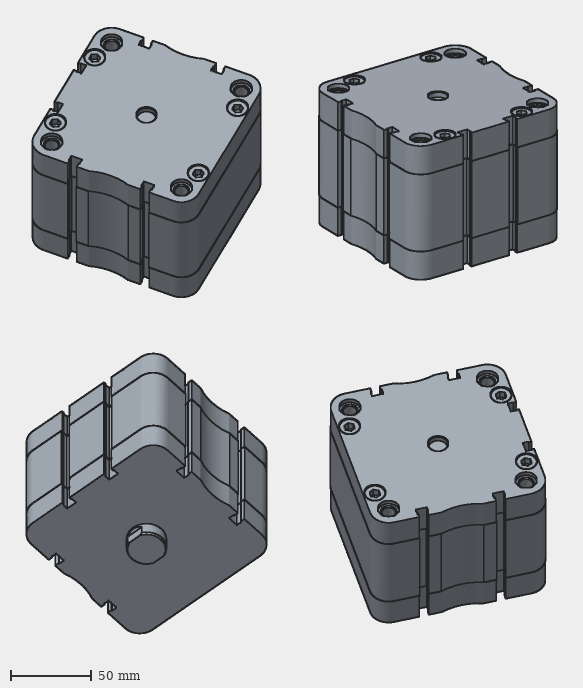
import cadquery as cq

barrel_width = 113.5
cap_width = 113.0
cap_height = 19.5
body_height = 92.0
rod_reach = 10.0
barrel_height = body_height - 2 * cap_height

corner_centre = 44.5
valley_width = 26.8
valley_mouth_width = 27.5
valley_depth = 2.5

y_slot_floor = 6.9
y_slot_lip = 3.3
cap_x_slot_floor = 5.8
barrel_x_slot_floor = 5.3
x_slot_lip = 2.0
slot_undercut = 0.6
barrel_y_slot_width = 5.8
barrel_y_slot_place = 25.0
cap_y_slot_width = 6.1
cap_y_slot_place = 24.9
barrel_x_slot_width = 5.7
barrel_x_slot_place = 17.6
barrel_x_slot_chamfer = 0.5
cap_x_slot_width = 6.1
cap_x_slot_place = 17.4

mount_bore_diameter = 13.5
mount_bore_depth = 3.0
thread_mouth_diameter = 10.1
thread_core_diameter = 8.5

screw_place_x = 49.0
screw_place_y = 29.2
screw_mouth_diameter = 13.5
screw_recess_diameter = 12.7
screw_recess_depth = 0.8
hex_flats = 6.0
hex_depth = 5.0

centre_mouth_diameter = 13.0
centre_hole_diameter = 12.0
centre_hole_depth = 4.0

rod_diameter = 25.0
rod_flats = 22.0
rod_end_chamfer_height = 1.5
rod_end_chamfer_width = 0.7
flat_ramp_start = 1.4
flat_ramp_end = 2.8


def turned(body, angle):
    """Copy of a body turned about the Z axis."""
    return body.rotate((0, 0, 0), (0, 0, 1), angle)


def t_slot(width, floor, lip, place, height, mouth_chamfer=0.0):
    """Cutter for a T-slot in the +Y face, running the full height from Z = 0."""
    face = barrel_width / 2
    neck = cq.Workplane("XY").box(width, floor, height, centered=(True, False, False))
    wide_width = width + 2 * slot_undercut
    wide = cq.Workplane("XY").box(wide_width, floor - lip, height, centered=(True, False, False))
    slot = neck.union(wide)
    if mouth_chamfer > 0:
        half_neck = width / 2
        half_mouth = half_neck + mouth_chamfer
        mouth = (
            cq.Workplane("XY")
            .polyline([
                (-half_mouth, floor),
                (-half_neck, floor - mouth_chamfer),
                (half_neck, floor - mouth_chamfer),
                (half_mouth, floor),
            ])
            .close()
            .extrude(height)
        )
        slot = slot.union(mouth)
    return slot.translate((place, face - floor, 0))


def valley(height):
    """Cutter for the shallow arched valley, with bevelled rims, in the middle of the +Y face."""
    barrel_face = barrel_width / 2
    cap_face = cap_width / 2
    return (
        cq.Workplane("XY")
        .moveTo(-valley_mouth_width / 2, barrel_face)
        .lineTo(-valley_width / 2, cap_face)
        .threePointArc((0, barrel_face - valley_depth), (valley_width / 2, cap_face))
        .lineTo(valley_mouth_width / 2, barrel_face)
        .close()
        .extrude(height)
    )


def grooved_block(width, height, y_slots, x_slots):
    """Rounded square block with a valley and the slot cutters on both Y faces, and slots on -X."""
    block = (
        cq.Workplane("XY")
        .rect(width, width)
        .extrude(height)
        .edges("|Z")
        .fillet(width / 2 - corner_centre)
    )
    for turn in (0, 180):
        for cutter in [valley(height), *y_slots]:
            block = block.cut(turned(cutter, turn))
    for slot in x_slots:
        block = block.cut(turned(slot, 90))
    return block


def plain_cap():
    """End cap block standing on Z = 0."""
    y_slots = []
    x_slots = []
    for side in (-1, 1):
        y_slots.append(
            t_slot(cap_y_slot_width, y_slot_floor, y_slot_lip, side * cap_y_slot_place, cap_height)
        )
        x_slots.append(
            t_slot(cap_x_slot_width, cap_x_slot_floor, x_slot_lip, side * cap_x_slot_place, cap_height)
        )
    return grooved_block(cap_width, cap_height, y_slots, x_slots)


def chamfered_hole(mouth_diameter, diameter, depth):
    """Cutter for a hole going down from Z = 0, with a 45 degree chamfer at its mouth."""
    chamfer = (mouth_diameter - diameter) / 2
    return (
        cq.Workplane("XZ")
        .moveTo(0, 0)
        .lineTo(mouth_diameter / 2, 0)
        .lineTo(diameter / 2, -chamfer)
        .lineTo(diameter / 2, -depth)
        .lineTo(0, -depth)
        .close()
        .revolve(360, (0, 0, 0), (0, 1, 0))
    )


def mounting_hole():
    """Cutter for a counterbored thread hole through the cap, with its mouth at Z = 0."""
    counterbore = cq.Workplane("XY").circle(mount_bore_diameter / 2).extrude(-mount_bore_depth)
    thread = chamfered_hole(thread_mouth_diameter, thread_core_diameter, cap_height - mount_bore_depth)
    return counterbore.union(thread.translate((0, 0, -mount_bore_depth)))


def screw_recess():
    """Cutter for a shallow round recess with a hexagon socket in its floor, with its mouth at Z = 0."""
    recess = chamfered_hole(screw_mouth_diameter, screw_recess_diameter, screw_recess_depth)
    socket = (
        cq.Workplane("XY", origin=(0, 0, -screw_recess_depth))
        .polygon(6, hex_flats, circumscribed=True)
        .extrude(-hex_depth)
    )
    return recess.union(socket)


def make_barrel():
    """Middle section between the caps."""
    y_slots = []
    x_slots = []
    for side in (-1, 1):
        y_slots.append(
            t_slot(barrel_y_slot_width, y_slot_floor, y_slot_lip, side * barrel_y_slot_place, barrel_height)
        )
        x_slots.append(
            t_slot(
                barrel_x_slot_width,
                barrel_x_slot_floor,
                x_slot_lip,
                side * barrel_x_slot_place,
                barrel_height,
                barrel_x_slot_chamfer,
            )
        )
    block = grooved_block(barrel_width, barrel_height, y_slots, x_slots)
    return block.translate((0, 0, cap_height))


def make_top_cap():
    """Upper cap with mounting holes, screw recesses and a blind centring hole."""
    cap = plain_cap().translate((0, 0, body_height - cap_height))
    cap = cap.cut(
        chamfered_hole(centre_mouth_diameter, centre_hole_diameter, centre_hole_depth)
        .translate((0, 0, body_height))
    )
    for x_side in (-1, 1):
        for y_side in (-1, 1):
            hole_place = (x_side * corner_centre, y_side * corner_centre, body_height)
            screw_place = (x_side * screw_place_x, y_side * screw_place_y, body_height)
            cap = cap.cut(mounting_hole().translate(hole_place))
            cap = cap.cut(screw_recess().translate(screw_place))
    return cap


def make_bottom_cap():
    """Lower cap with a through hole for the piston rod."""
    rod_hole = cq.Workplane("XY").circle(rod_diameter / 2).extrude(cap_height)
    return plain_cap().cut(rod_hole)


def flat_cutter():
    """Cutter for the wrench flat on the rod's +X side, ending in a ramp at its top."""
    outside = rod_diameter / 2
    flat = rod_flats / 2
    return (
        cq.Workplane("XZ")
        .moveTo(flat, -rod_reach)
        .lineTo(flat, -flat_ramp_end)
        .lineTo(outside, -flat_ramp_start)
        .lineTo(outside, -rod_reach)
        .close()
        .extrude(rod_diameter / 2, both=True)
    )


def make_piston_rod():
    """Rod through the lower cap, with a tapered end and two wrench flats."""
    radius = rod_diameter / 2
    rod = (
        cq.Workplane("XZ")
        .moveTo(0, -rod_reach)
        .lineTo(radius - rod_end_chamfer_width, -rod_reach)
        .lineTo(radius, -rod_reach + rod_end_chamfer_height)
        .lineTo(radius, cap_height)
        .lineTo(0, cap_height)
        .close()
        .revolve(360, (0, 0, 0), (0, 1, 0))
    )
    for turn in (0, 180):
        rod = rod.cut(turned(flat_cutter(), turn))
    return rod


barrel = make_barrel()
top_cap = make_top_cap()
bottom_cap = make_bottom_cap()
piston_rod = make_piston_rod()

result = cq.Compound.makeCompound(
    [barrel.val(), top_cap.val(), bottom_cap.val(), piston_rod.val()]
)